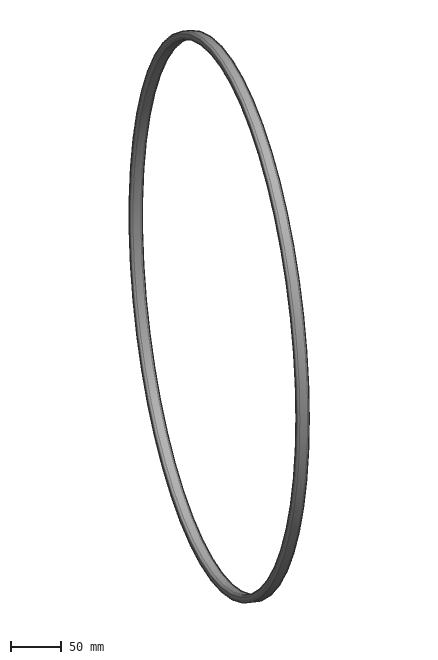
import cadquery as cq

mean_diameter = 558.8
ring_width = 12.7
radial_thickness = 7.94
corner_radius = 2.3

mean_radius = mean_diameter / 2


def ring_section():
    """Bar cross-section in the XY plane, at the mean radius from the Y axis."""
    return cq.Workplane("XY").center(mean_radius, 0).rect(radial_thickness, ring_width)


def plain_ring():
    """Square-cornered ring made by turning the section about the Y axis."""
    axis_start = (-mean_radius, 0)
    axis_end = (-mean_radius, 1)
    return ring_section().revolve(360, axis_start, axis_end)


def round_corners(ring):
    """Fillet the inner and outer rims on both side faces."""
    return ring.edges("%CIRCLE").fillet(corner_radius)


result = round_corners(plain_ring())